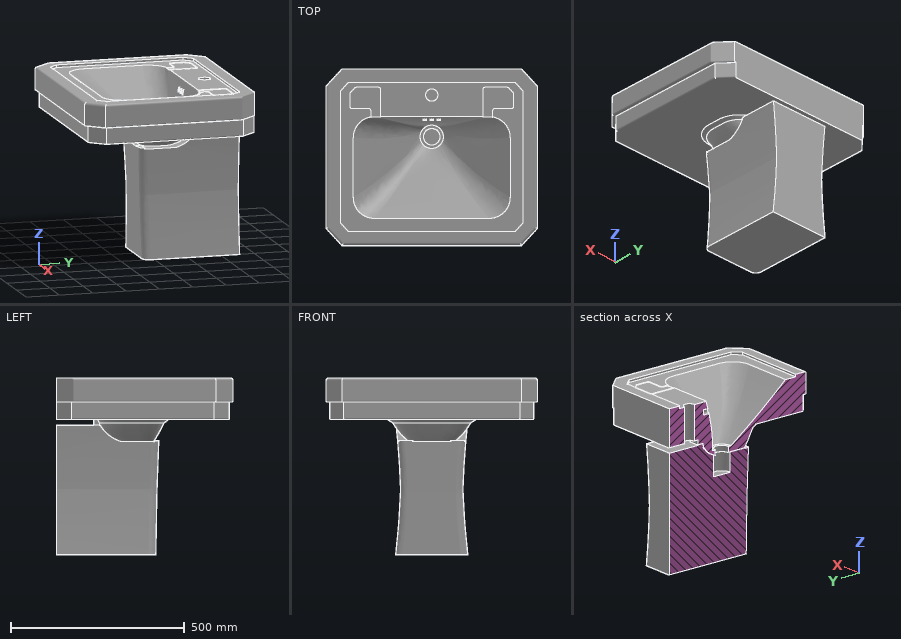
import cadquery as cq
import math


width = 610.5
depth = 510.5
top_z = 510.5
ledge_z = 440.0
basin_bottom_z = 389.5
tier_step = 11.0
upper_corner = (46.5, 50.0)
lower_corner = (40.0, 44.0)
rim_round = 8.5
back_corner_round = 3.0
underside_round = 4.0

clearance = 0.5

deck_z = 502.5
deck_half_width = 264.0
deck_back = 39.5
deck_front = 469.0
deck_corner = (22.5, 25.0)
tray_depth = 2.0
tray_outer_x = 235.5
tray_inner_x = 148.0
tray_channel_x = 176.0
tray_back = 53.0
tray_front = 115.0
tray_corner_cut = 16.0
tray_round = 5.5
tap_back = 76.0
tap_radius = 18.0

bowl_half_width = 226.5
bowl_back = 138.0
bowl_front = 431.5
bowl_corner = 61.0
drain_back = 196.0
drain_z = 345.5
drain_seat_radius = 33.5
drain_hole_radius = 24.0
bowl_sag = 11.5
bowl_sag_rise = 0.35
corner_sag_shares = ((0.8, 0.4, 0), (0, 0.4, 0.8), (1, 1, 1), (1, 1, 1))
seat_edge_angles = (22.0, 45.0)
overflow_count = 3
overflow_pitch = 20.0
overflow_z = 470.0
overflow_width = 10.5
overflow_height = 14.5
overflow_depth = 9.0

shell_bottom_z = 326.0
shell_bottom = (shell_bottom_z, 64.0, 177.0, 281.0, 36.5)
shell_middle = (349.0, 90.5, 136.0, 295.0, 55.0)
shell_neck = (380.5, 113.0, 124.5, 311.5, 73.0)
shell_top = (basin_bottom_z, 127.0, 119.0, 323.5, 82.5)
casing_half_width = 36.5
casing_back = 107.5

pedestal_top_z = 374.0
pedestal_front_z = 329.0
foot_half_width = 104.5
waist_half_width = 90.5
waist_z = 188.5
head_half_width = 103.0
flare_power = 1.5
foot_front = 287.5
front_bend = 290.5
front_bend_z = 178.0
head_front = 296.0
pedestal_corner_round = 21.0
cradle_back = 126.5
cradle_floor_back = 189.0
cradle_floor_front = 282.5
cradle_bulge = 0.6
notch_half_width = 54.5
waste_radius = 30.5
waste_depth = 61.0


def cut_corner_plate(half_width, back, front, corner, z_low, z_high):
    """Plate with its four corners cut off, between two heights."""
    cut_x, cut_y = corner
    right_side = [
        (half_width - cut_x, -front),
        (half_width, -front + cut_y),
        (half_width, -back - cut_y),
        (half_width - cut_x, -back),
    ]
    left_side = [(-x, y) for x, y in reversed(right_side)]
    plate = cq.Workplane("XY").workplane(offset=z_low).polyline(right_side + left_side).close()
    return plate.extrude(z_high - z_low)


def centred_block(half_width, back, front, z_low, z_high):
    """Plain block, symmetric about X = 0."""
    return cq.Workplane("XY").box(
        2 * half_width, front - back, z_high - z_low, centered=(True, False, False)
    ).translate((0, -front, z_low))


def rim():
    upper = cut_corner_plate(width / 2, 0, depth, upper_corner, ledge_z, top_z)
    back_corners = cq.selectors.BoxSelector((-width, -upper_corner[1], 0), (width, -clearance, width))
    front_and_sides = cq.selectors.BoxSelector((-width, -width, 0), (width, -upper_corner[1], width))
    upper = upper.faces("<Z").edges("not >Y").fillet(underside_round)
    upper = upper.faces(">Z").edges(front_and_sides).fillet(rim_round)
    upper = upper.faces(">Z").edges(back_corners).edges("not |Y").fillet(back_corner_round)
    lower = cut_corner_plate(
        width / 2 - tier_step, 0, depth - tier_step, lower_corner, basin_bottom_z, ledge_z
    )
    lower = lower.faces("<Z").edges("not >Y").fillet(underside_round)
    return upper.union(lower)


def deck_recess():
    return cut_corner_plate(deck_half_width, deck_back, deck_front, deck_corner, deck_z, top_z)


def soap_tray():
    """Shallow tray on the +X side with a channel that runs into the bowl."""
    channel_end = bowl_back + bowl_corner / 2
    tray_floor = cq.Workplane("XY").workplane(offset=deck_z - tray_depth)
    tray = tray_floor.polyline([
        (tray_inner_x, -tray_back),
        (tray_outer_x - tray_corner_cut, -tray_back),
        (tray_outer_x, -tray_back - tray_corner_cut),
        (tray_outer_x, -tray_front),
        (tray_channel_x, -tray_front),
        (tray_channel_x, -channel_end),
        (tray_inner_x, -channel_end),
    ]).close().extrude(tray_depth)
    return tray.edges("|Z").edges("not <Y").fillet(tray_round)


def bowl_mouth_points():
    """Corner arcs of the mouth as (start, middle, end), anticlockwise from the back corner on +X."""
    inset = bowl_corner * (1 - math.sqrt(0.5))
    x, back, front, r = bowl_half_width, -bowl_back, -bowl_front, bowl_corner
    return [
        ((x, back - r), (x - inset, back - inset), (x - r, back)),
        ((-x + r, back), (-x + inset, back - inset), (-x, back - r)),
        ((-x, front + r), (-x + inset, front + inset), (-x + r, front)),
        ((x - r, front), (x - inset, front + inset), (x, front + r)),
    ]


def drain_seat_point(degrees):
    angle = math.radians(degrees)
    return drain_seat_radius * math.cos(angle), drain_seat_radius * math.sin(angle) - drain_back


def drain_seat_points():
    """Arcs of the drain seat that pair with the corner arcs of the mouth."""
    side, end = seat_edge_angles
    spans = [(side, end), (180 - end, 180 - side), (180 + side, 180 + end), (360 - end, 360 - side)]
    return [
        (drain_seat_point(start), drain_seat_point((start + stop) / 2), drain_seat_point(stop))
        for start, stop in spans
    ]


def bowl_section(rise):
    """Outline of the bowl between the drain seat (rise 0) and the mouth (rise 1)."""
    sag_here = bowl_sag if 0 < rise < 1 else 0

    def blend(seat_point, mouth_point, sag_share):
        seat_x, seat_y = seat_point
        mouth_x, mouth_y = mouth_point
        return seat_x + rise * (mouth_x - seat_x), seat_y + rise * (mouth_y - seat_y) - sag_here * sag_share

    corners = [
        [blend(*matched) for matched in zip(seat_arc, mouth_arc, shares)]
        for seat_arc, mouth_arc, shares in zip(
            drain_seat_points(), bowl_mouth_points(), corner_sag_shares
        )
    ]
    height = drain_z + rise * (deck_z - drain_z)
    sketch = cq.Workplane("XY").workplane(offset=height).moveTo(*corners[-1][2])
    for index, (start, middle, stop) in enumerate(corners):
        if rise == 0:
            sketch = sketch.threePointArc(drain_seat_point(90 * index), start)
        else:
            sketch = sketch.lineTo(*start)
        sketch = sketch.threePointArc(middle, stop)
    return sketch.close().val()


def bowl_cavity():
    """Smooth cavity from the drain seat up to the mouth."""
    sections = [bowl_section(rise) for rise in (0, bowl_sag_rise, 1)]
    return cq.Workplane(cq.Solid.makeLoft(sections))


def vertical_hole(radius, back, z_low, z_high):
    return cq.Workplane("XY").workplane(offset=z_low).center(0, -back).circle(radius).extrude(z_high - z_low)


def overflow_holes():
    start = cq.Workplane("XZ", origin=(0, -bowl_back + overflow_depth, overflow_z))
    slots = start.rarray(overflow_pitch, 6, overflow_count, 1).slot2D(overflow_height, overflow_width, 90)
    return slots.extrude(drain_back - bowl_back)


def rounded_section(z, half_width, back, front, corner):
    plate = centred_block(half_width, back, front, z, z + 6).edges("|Z").fillet(corner)
    return plate.faces("<Z").wires().val()


def bowl_shell():
    """Bulging outside of the bowl below the lower tier, with a flare where they meet."""
    low, middle, neck, top = [
        rounded_section(*section) for section in (shell_bottom, shell_middle, shell_neck, shell_top)
    ]
    bulge = cq.Workplane(cq.Solid.makeLoft([low, middle, neck]))
    flare = cq.Workplane(cq.Solid.makeLoft([neck, top], True))
    return bulge.union(flare)


def overflow_casing():
    return centred_block(casing_half_width, casing_back, drain_back, pedestal_top_z, basin_bottom_z)


def make_basin():
    basin = rim().union(bowl_shell()).union(overflow_casing())
    basin = basin.cut(deck_recess()).cut(bowl_cavity())
    tray = soap_tray()
    basin = basin.cut(tray).cut(tray.mirror("YZ"))
    basin = basin.cut(vertical_hole(tap_radius, tap_back, basin_bottom_z, deck_z))
    basin = basin.cut(vertical_hole(drain_hole_radius, drain_back, shell_bottom_z, drain_z))
    return basin.cut(overflow_holes())


def pedestal_column():
    """Waisted column with rounded front corners and an upright flat back."""
    def side_x(z):
        if z < waist_z:
            return waist_half_width + (foot_half_width - waist_half_width) * (1 - z / waist_z) ** flare_power
        rise = (z - waist_z) / (pedestal_top_z - waist_z)
        return waist_half_width + (head_half_width - waist_half_width) * rise ** flare_power

    lower_mid = waist_z / 2
    upper_mid = (waist_z + pedestal_top_z) / 2
    outline = (
        cq.Workplane("XZ")
        .moveTo(-foot_half_width, 0)
        .lineTo(foot_half_width, 0)
        .threePointArc((side_x(lower_mid), lower_mid), (waist_half_width, waist_z))
        .threePointArc((side_x(upper_mid), upper_mid), (head_half_width, pedestal_top_z))
        .lineTo(-head_half_width, pedestal_top_z)
        .threePointArc((-side_x(upper_mid), upper_mid), (-waist_half_width, waist_z))
        .threePointArc((-side_x(lower_mid), lower_mid), (-foot_half_width, 0))
        .close()
        .extrude(depth)
    )
    slope = (head_front - front_bend) / (pedestal_front_z - front_bend_z)
    profile = cq.Workplane("YZ").polyline([
        (0, 0),
        (-foot_front, 0),
        (-front_bend, front_bend_z),
        (-front_bend - slope * (pedestal_top_z - front_bend_z), pedestal_top_z),
        (0, pedestal_top_z),
    ]).close().extrude(foot_half_width, both=True)
    column = outline.intersect(profile)
    front_side = cq.selectors.BoxSelector(
        (-width, -depth, clearance), (width, -foot_front + clearance, pedestal_top_z - clearance)
    )
    return column.edges(front_side).edges("not #Z").fillet(pedestal_corner_round)


def cradle():
    """Curved seat in the top of the pedestal for the bowl."""
    mid_y = -cradle_floor_back + (cradle_floor_back - cradle_back) * cradle_bulge
    mid_z = pedestal_top_z - (pedestal_top_z - shell_bottom_z) * cradle_bulge
    return (
        cq.Workplane("YZ")
        .moveTo(-cradle_back, pedestal_top_z)
        .threePointArc((mid_y, mid_z), (-cradle_floor_back, shell_bottom_z))
        .lineTo(-cradle_floor_front, shell_bottom_z)
        .lineTo(-cradle_floor_front, pedestal_front_z)
        .lineTo(-depth, pedestal_front_z)
        .lineTo(-depth, pedestal_top_z)
        .close()
        .extrude(foot_half_width, both=True)
    )


def front_notch():
    return centred_block(notch_half_width, cradle_floor_back, depth, shell_bottom_z, pedestal_top_z)


def make_pedestal(basin):
    return (
        pedestal_column()
        .cut(cradle())
        .cut(front_notch())
        .cut(vertical_hole(waste_radius, drain_back, shell_bottom_z - waste_depth, pedestal_top_z))
        .cut(basin)
    )


basin = make_basin()
pedestal = make_pedestal(basin)
result = cq.Compound.makeCompound([basin.solids().val(), pedestal.solids().val()])